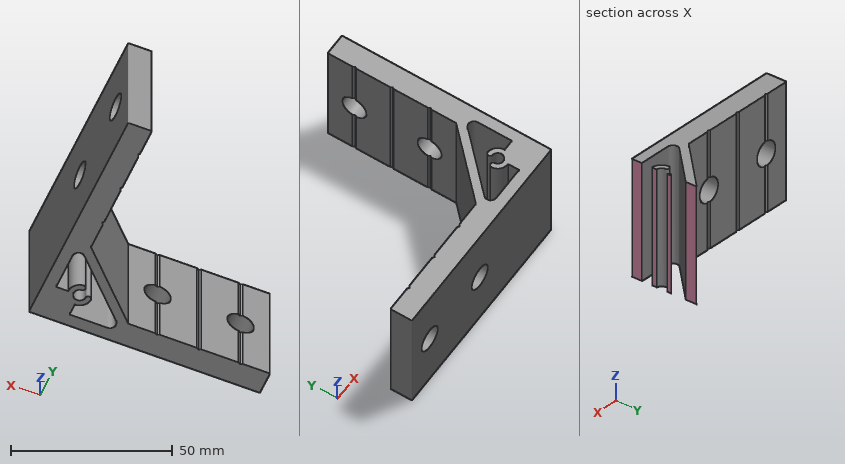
import cadquery as cq
import math

leg_length = 78.0
height = 43.0
leg_thickness = 8.0
edge_radius = 0.3

brace_reach = 30.1
brace_thickness = 3.1
hollow_wall = 4.05
hollow_radius = 2.0

block_size = 12.0
ring_outer_radius = 3.9
ring_inner_radius = 2.0
ring_opening = 100.0

hole_diameter = 9.0
hole_end_distance = 10.0
hole_spacing = 28.0
groove_width = 1.5
groove_depth = 0.405

first_hole = hole_end_distance
second_hole = hole_end_distance + hole_spacing
middle_groove = (first_hole + second_hole) / 2


def mirror_legs(shape):
    """Swap the X leg and the Y leg: reflect in the diagonal through the outer corner."""
    return shape.rotate((leg_length, 0, 0), (leg_length, 0, 1), -90).mirror("YZ", (leg_length, 0, 0))


def prism(points):
    return cq.Workplane("XY").polyline(points).close().extrude(height)


def make_body():
    inner_x = leg_length - leg_thickness
    brace_x = leg_length - brace_reach
    body = prism([
        (0, 0),
        (leg_length, 0),
        (leg_length, leg_length),
        (inner_x, leg_length),
        (inner_x, brace_reach),
        (brace_x, leg_thickness),
        (0, leg_thickness),
    ])
    corners = [
        (0, 0),
        (leg_length, 0),
        (leg_length, leg_length),
        (inner_x, leg_length),
        (0, leg_thickness),
    ]
    for x, y in corners:
        corner_edge = cq.selectors.NearestToPointSelector((x, y, height / 2))
        body = body.edges("|Z").edges(corner_edge).fillet(edge_radius)
    return body


def make_hollow():
    """Triangular hollow, less the corner block and its screw-channel ring."""
    brace_sum = brace_reach + leg_thickness - brace_thickness * math.sqrt(2)
    hollow_reach = brace_sum - hollow_wall
    wall_x = leg_length - hollow_wall
    hollow = prism([
        (wall_x, hollow_wall),
        (wall_x, hollow_reach),
        (leg_length - hollow_reach, hollow_wall),
    ])
    hollow = hollow.edges("|Z and (<X or >Y)").fillet(hollow_radius)
    block = cq.Workplane("XY").box(block_size, block_size, height, centered=False)
    hollow = hollow.cut(block.translate((leg_length - block_size, 0, 0)))
    return hollow.cut(make_ring()).union(make_screw_bore())


def make_ring():
    """Ring around the block corner, open towards the brace, with rounded tips."""
    centre_x = leg_length - block_size
    tip_radius = (ring_outer_radius - ring_inner_radius) / 2
    tip_offset = ring_inner_radius + tip_radius
    brace_direction = 135.0
    tip_angles = [
        math.radians(brace_direction - ring_opening / 2),
        math.radians(brace_direction + ring_opening / 2),
    ]
    wedge_reach = 2 * ring_outer_radius
    wedge = prism([(0, 0)] + [(wedge_reach * math.cos(a), wedge_reach * math.sin(a)) for a in tip_angles])
    tip_centres = [(tip_offset * math.cos(a), tip_offset * math.sin(a)) for a in tip_angles]
    tips = cq.Workplane("XY").pushPoints(tip_centres).circle(tip_radius).extrude(height)
    ring = cq.Workplane("XY").circle(ring_outer_radius).circle(ring_inner_radius).extrude(height)
    return ring.cut(wedge).union(tips).translate((centre_x, block_size, 0))


def make_screw_bore():
    bore = cq.Workplane("XY").center(leg_length - block_size, block_size)
    return bore.circle(ring_inner_radius).extrude(height)


def make_leg_cuts():
    """Bolt holes and V-grooves of the X leg."""
    cuts = cq.Workplane("XZ").pushPoints([(first_hole, height / 2), (second_hole, height / 2)])
    cuts = cuts.circle(hole_diameter / 2).extrude(-leg_thickness)
    for x in (first_hole, middle_groove, second_hole):
        groove = prism([
            (x - groove_width / 2, leg_thickness),
            (x, leg_thickness - groove_depth),
            (x + groove_width / 2, leg_thickness),
        ])
        cuts = cuts.union(groove)
    return cuts


leg_cuts = make_leg_cuts()
result = make_body().cut(make_hollow()).cut(leg_cuts).cut(mirror_legs(leg_cuts))